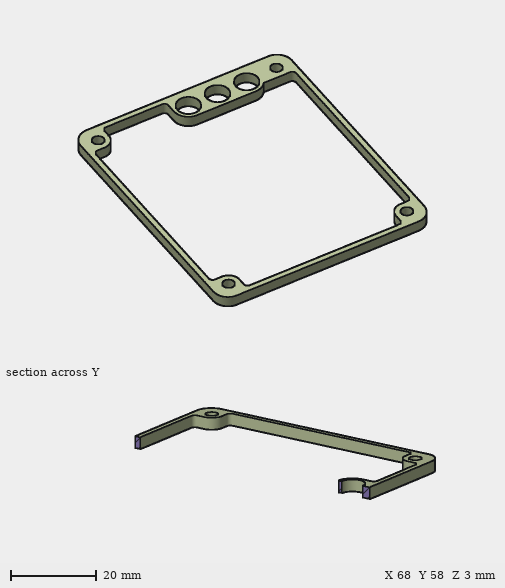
import cadquery as cq

length = 68.0
width = 58.0
thickness = 3.0
wall = 1.5
outer_radius = 4.0
inner_fillet = 1.0

screw_diameter = 3.0
screw_inset = 4.5
boss_radius = 3.0
boss_reach = screw_inset + boss_radius

port_diameter = 6.0
port_count = 3
port_pitch = 8.0
port_inset = 5.0
first_port_drop = 13.0
port_pad_radius = 4.0

half_length = length / 2
half_width = width / 2
port_x = port_inset - half_length
port_ys = [half_width - first_port_drop - i * port_pitch for i in range(port_count)]
pad_bottom = port_ys[-1] - port_pad_radius


def block(x0, x1, y0, y1):
    """Full-thickness block between two opposite corners."""
    return (
        cq.Workplane("XY")
        .box(abs(x1 - x0), abs(y1 - y0), thickness, centered=(True, True, False))
        .translate(((x0 + x1) / 2, (y0 + y1) / 2, 0))
    )


def cylinders(points, diameter):
    """Full-thickness cylinders at the given points."""
    return cq.Workplane("XY").pushPoints(points).circle(diameter / 2).extrude(thickness)


def corner_boss(side_x, side_y):
    """Square pad in one frame corner with its inward corner rounded about the screw hole."""
    corner_x = side_x * half_length
    corner_y = side_y * half_width
    inward_x = corner_x - side_x * boss_reach
    inward_y = corner_y - side_y * boss_reach
    boss = block(corner_x, inward_x, corner_y, inward_y)
    inward_edge = cq.selectors.NearestToPointSelector((inward_x, inward_y, thickness / 2))
    return boss.edges("|Z").edges(inward_edge).fillet(boss_radius)


def port_pad():
    """Thickened left wall around the large holes, joined to the upper left boss."""
    row = block(-half_length, port_x + port_pad_radius, port_ys[0], port_ys[-1])
    foot = block(-half_length, port_x, port_ys[-1], pad_bottom)
    neck = block(-half_length, boss_reach - half_length, half_width, port_ys[0])
    ends = cylinders([(port_x, port_ys[0]), (port_x, port_ys[-1])], 2 * port_pad_radius)
    return row.union(foot).union(neck).union(ends)


opening_x = half_length - wall
opening_y = half_width - wall
opening = block(-opening_x, opening_x, -opening_y, opening_y).cut(port_pad())
for side_x, side_y in [(-1, -1), (1, -1), (1, 1)]:
    opening = opening.cut(corner_boss(side_x, side_y))

boss_x = half_length - boss_reach
boss_y = half_width - boss_reach
rounded_corners = [
    (-boss_x, -opening_y),
    (boss_x, -opening_y),
    (boss_x, opening_y),
    (-boss_x, opening_y),
    (-opening_x, -boss_y),
    (opening_x, -boss_y),
    (opening_x, boss_y),
    (-opening_x, pad_bottom),
]
for x, y in rounded_corners:
    corner_edge = cq.selectors.NearestToPointSelector((x, y, thickness / 2))
    opening = opening.edges("|Z").edges(corner_edge).fillet(inner_fillet)

screw_x = half_length - screw_inset
screw_y = half_width - screw_inset
screw_points = [(sx * screw_x, sy * screw_y) for sx in (-1, 1) for sy in (-1, 1)]
port_points = [(port_x, y) for y in port_ys]

frame = block(-half_length, half_length, -half_width, half_width).edges("|Z").fillet(outer_radius)
result = (
    frame.cut(opening)
    .cut(cylinders(screw_points, screw_diameter))
    .cut(cylinders(port_points, port_diameter))
)